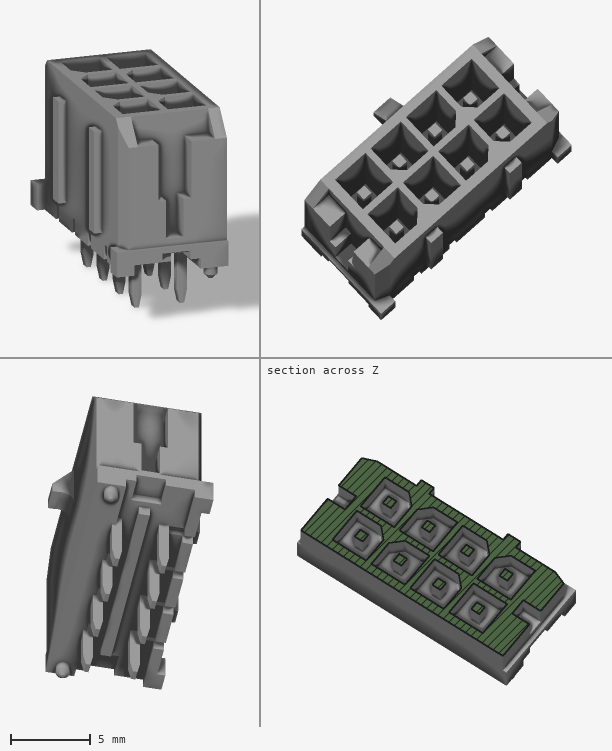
import cadquery as cq


OVERALL_LENGTH = 16.15
OVERALL_DEPTH = 8.77
OVERALL_HEIGHT = 13.09

PITCH = 3.0
COLUMNS = 4
COLUMN_X = [(i - (COLUMNS - 1) / 2) * PITCH for i in range(COLUMNS)]
FRONT_ROW_Y = -PITCH / 2
BACK_ROW_Y = PITCH / 2

FRONT_Y = -3.465
BACK_Y = 3.42
TOP_Z = 9.91
HALF_LENGTH = 7.80
CORE_HALF_LENGTH = 6.46
SHOULDER_Z = 8.31
CORNER_X = 6.87
CORNER_BEVEL_Y = 0.37

FLANGE_HALF_LENGTH = OVERALL_LENGTH / 2
FLANGE_HEIGHT = 1.63
FOOT_FRONT_Y = -3.98

END_TOP_Y = (-2.48, 2.63)
END_SLOT_Y = (-1.12, 1.07)
END_SLOT_FLOOR_Z = 4.59
END_KEYWAY_Y = (-0.61, 0.55)
END_KEYWAY_FLOOR_Z = 2.08

CAVITY_SIZE = 2.57
CAVITY_FLOOR_Z = END_KEYWAY_FLOOR_Z
KEY_CHAMFER = 0.73
FRONT_ROW_KEYS = [1, -1, 1, -1]
BACK_ROW_KEYS = [0, -1, 1, -1]

PIN_SIZE = 0.64
PIN_TOP_Z = 7.0
PIN_TIP_Z = TOP_Z - OVERALL_HEIGHT
PIN_TAPER_LENGTH = 0.84
PIN_TIP_WIDTH = 0.28

UNDERCUT_Y = (-2.80, 1.59)
UNDERCUT_HEIGHT = 0.68
CENTRE_RIB_WIDTH = 0.68
CENTRE_RIB_HALF_LENGTH = 6.0
END_NOTCH_Y = (-0.96, 0.92)
END_NOTCH_HEIGHT = 1.25
PIN_WINDOW_WIDTH = 0.60
PIN_WINDOW_HEIGHT = 1.0

RIB_X = 3.34
RIB_WIDTH = 1.0

LATCH_WIDTH = 1.44
LATCH_TIP_Y = FOOT_FRONT_Y + OVERALL_DEPTH
LATCH_RAMP_TOP_Z = 9.33
LATCH_TIP_TOP_Z = 7.73
LATCH_HOOK_Z = 7.01
LATCH_HOOK_END_Y = 4.38
LATCH_ROOT_Z = 6.50
LATCH_CURVE_MID = (3.78, 6.94)

PEG_X = 7.49
PEG_Y = 2.44
PEG_RADIUS = 0.44
PEG_TIP_RADIUS = 0.12
PEG_STRAIGHT = 0.53
PEG_LENGTH = 0.84


def box(x_range, y_range, z_range):
    """Axis-aligned box given by its limits along X, Y and Z."""
    x0, x1 = x_range
    y0, y1 = y_range
    z0, z1 = z_range
    return cq.Workplane("XY").box(x1 - x0, y1 - y0, z1 - z0, centered=False).translate((x0, y0, z0))


def end_range(side, inner_x, outer_x):
    """X limits of a feature at the left (-1) or right (1) end."""
    return sorted((side * inner_x, side * outer_x))


def make_shell():
    """Housing block with sloped top ends and bevelled front corners."""
    plan = (
        cq.Workplane("XY")
        .moveTo(-CORNER_X, FRONT_Y)
        .lineTo(CORNER_X, FRONT_Y)
        .lineTo(HALF_LENGTH, FRONT_Y + CORNER_BEVEL_Y)
        .lineTo(HALF_LENGTH, BACK_Y)
        .lineTo(-HALF_LENGTH, BACK_Y)
        .lineTo(-HALF_LENGTH, FRONT_Y + CORNER_BEVEL_Y)
        .close()
        .extrude(TOP_Z)
    )
    profile = (
        cq.Workplane("XZ", origin=(0, BACK_Y, 0))
        .moveTo(-HALF_LENGTH, 0)
        .lineTo(HALF_LENGTH, 0)
        .lineTo(HALF_LENGTH, SHOULDER_Z)
        .lineTo(CORE_HALF_LENGTH, TOP_Z)
        .lineTo(-CORE_HALF_LENGTH, TOP_Z)
        .lineTo(-HALF_LENGTH, SHOULDER_Z)
        .close()
        .extrude(BACK_Y - FRONT_Y)
    )
    return plan.intersect(profile)


def add_flange(body):
    """Base flange along each end, reaching forward as a foot."""
    for side in (-1, 1):
        x_range = end_range(side, CORNER_X, FLANGE_HALF_LENGTH)
        body = body.union(box(x_range, (FOOT_FRONT_Y, BACK_Y), (0, FLANGE_HEIGHT)))
    return body


def cut_end_recesses(body):
    """Stepped recess in each end: wide top, guide slot and narrow keyway."""
    steps = [
        (END_TOP_Y, SHOULDER_Z),
        (END_SLOT_Y, END_SLOT_FLOOR_Z),
        (END_KEYWAY_Y, END_KEYWAY_FLOOR_Z),
    ]
    for side in (-1, 1):
        x_range = end_range(side, CORE_HALF_LENGTH, HALF_LENGTH)
        for y_range, floor_z in steps:
            body = body.cut(box(x_range, y_range, (floor_z, TOP_Z)))
    return body


def make_cavity(x, y, key_side):
    """Square cavity, with one front corner chamfered when key_side is not 0."""
    cavity = cq.Workplane("XY").rect(CAVITY_SIZE, CAVITY_SIZE).extrude(TOP_Z - CAVITY_FLOOR_Z)
    if key_side:
        corner = "<X and <Y" if key_side < 0 else ">X and <Y"
        cavity = cavity.edges(corner).chamfer(KEY_CHAMFER)
    return cavity.translate((x, y, CAVITY_FLOOR_Z))


def cut_cavities(body):
    for y, keys in ((FRONT_ROW_Y, FRONT_ROW_KEYS), (BACK_ROW_Y, BACK_ROW_KEYS)):
        for x, key_side in zip(COLUMN_X, keys):
            body = body.cut(make_cavity(x, y, key_side))
    return body


def shape_underside(body):
    """Undercut along the rows, centre rib, end notches and front pin windows."""
    full_length = (-FLANGE_HALF_LENGTH, FLANGE_HALF_LENGTH)
    body = body.cut(box(full_length, UNDERCUT_Y, (0, UNDERCUT_HEIGHT)))
    for side in (-1, 1):
        x_range = end_range(side, CORE_HALF_LENGTH, FLANGE_HALF_LENGTH)
        body = body.cut(box(x_range, END_NOTCH_Y, (0, END_NOTCH_HEIGHT)))
    body = body.union(
        box(
            (-CENTRE_RIB_HALF_LENGTH, CENTRE_RIB_HALF_LENGTH),
            (-CENTRE_RIB_WIDTH / 2, CENTRE_RIB_WIDTH / 2),
            (0, UNDERCUT_HEIGHT),
        )
    )
    for x in COLUMN_X:
        x_range = (x - PIN_WINDOW_WIDTH / 2, x + PIN_WINDOW_WIDTH / 2)
        body = body.cut(box(x_range, (FRONT_Y, FRONT_ROW_Y), (0, PIN_WINDOW_HEIGHT)))
    return body


def add_front_ribs(body):
    for x in (-RIB_X, RIB_X):
        x_range = (x - RIB_WIDTH / 2, x + RIB_WIDTH / 2)
        body = body.union(box(x_range, (FOOT_FRONT_Y, FRONT_Y), (FLANGE_HEIGHT, SHOULDER_Z)))
    return body


def make_latch():
    """Ramped latch with a hook face curving down into the back wall."""
    return (
        cq.Workplane("YZ", origin=(-LATCH_WIDTH / 2, 0, 0))
        .moveTo(BACK_Y, LATCH_RAMP_TOP_Z)
        .lineTo(LATCH_TIP_Y, LATCH_TIP_TOP_Z)
        .lineTo(LATCH_TIP_Y, LATCH_HOOK_Z)
        .lineTo(LATCH_HOOK_END_Y, LATCH_HOOK_Z)
        .threePointArc(LATCH_CURVE_MID, (BACK_Y, LATCH_ROOT_Z))
        .close()
        .extrude(LATCH_WIDTH)
    )


def make_pin(x, y):
    """Square pin whose tail tapers in Y only."""
    taper_z = PIN_TIP_Z + PIN_TAPER_LENGTH
    return (
        cq.Workplane("YZ", origin=(x - PIN_SIZE / 2, y, 0))
        .moveTo(-PIN_SIZE / 2, PIN_TOP_Z)
        .lineTo(PIN_SIZE / 2, PIN_TOP_Z)
        .lineTo(PIN_SIZE / 2, taper_z)
        .lineTo(PIN_TIP_WIDTH / 2, PIN_TIP_Z)
        .lineTo(-PIN_TIP_WIDTH / 2, PIN_TIP_Z)
        .lineTo(-PIN_SIZE / 2, taper_z)
        .close()
        .extrude(PIN_SIZE)
    )


def add_pins(body):
    for y in (FRONT_ROW_Y, BACK_ROW_Y):
        for x in COLUMN_X:
            body = body.union(make_pin(x, y))
    return body


def make_peg(x):
    """Round locating peg with a conical tip."""
    return (
        cq.Workplane("XZ")
        .moveTo(0, 0)
        .lineTo(PEG_RADIUS, 0)
        .lineTo(PEG_RADIUS, -PEG_STRAIGHT)
        .lineTo(PEG_TIP_RADIUS, -PEG_LENGTH)
        .lineTo(0, -PEG_LENGTH)
        .close()
        .revolve(360, (0, 0, 0), (0, 1, 0))
        .translate((x, PEG_Y, 0))
    )


housing = make_shell()
housing = add_flange(housing)
housing = cut_end_recesses(housing)
housing = cut_cavities(housing)
housing = shape_underside(housing)
housing = add_front_ribs(housing)
housing = housing.union(make_latch())
for peg_x in (-PEG_X, PEG_X):
    housing = housing.union(make_peg(peg_x))
result = add_pins(housing)